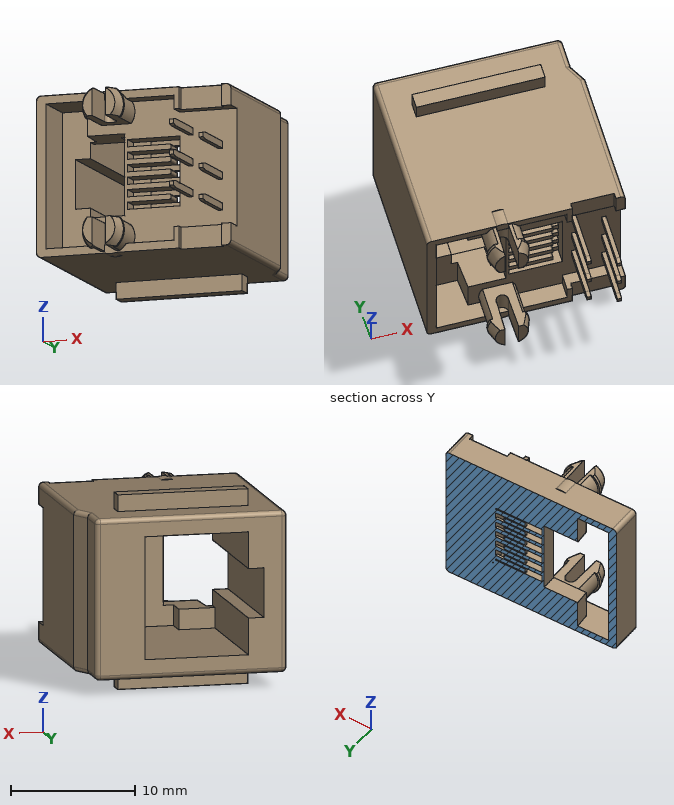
import cadquery as cq


width = 16.64
depth = 16.25
height = 13.26
edge_radius = 0.4
shoulder_step = 0.79
shoulder_start = 11.95
shoulder_end = 13.45

rib_left = 2.52
rib_right = 13.31
rib_front = 12.02
rib_back = 13.31
rib_span = 16.0

recess_left = 0.81
recess_right = 11.76
recess_height = 11.9
plate_front = 1.45
well_right = 3.86
well_floor = 4.0
well_draft = 0.16

bay_height = 9.66
notch_left = 12.2
notch_right = 15.84
notch_depth = 0.5

window_right = 7.03
window_height = 6.72
latch_left = 1.92
latch_height = 4.06
cavity_left = 3.19
cavity_height = 10.1
plate_back = 3.0
stop_right = 6.19
stop_back = 4.84

contact_count = 6
contact_pitch = 1.027
slot_left = 7.29
slot_width = 0.6
slot_floor = 2.85
contact_front = 2.6
contact_left = 8.87
contact_width = 0.47
contact_root = 0.3
comb_left = 10.99
tooth_end_radius = 0.1

pin_pitch = 1.27
pin_row_left = 12.7
pin_row_right = pin_row_left + 2 * pin_pitch
pin_width = 0.36
pin_height = 0.57
pin_tip_height = 0.36
pin_tip_length = 0.5
pin_reach = 3.2

peg_x = 6.33
peg_z = 5.12
peg_radius = 1.58
lip_radius = 1.75
tip_radius = 1.38
lip_start = 1.55
lip_end = 1.79
peg_reach = 2.81
peg_inner_z = 4.16
peg_outer_z = 6.48
peg_slot_root_width = 1.0
peg_slot_tip_width = 1.14


def box(x0, x1, y0, y1, z0, z1):
    return cq.Workplane("XY").box(x1 - x0, y1 - y0, z1 - z0, centered=False).translate((x0, y0, z0))


def mid_box(x0, x1, y0, y1, z_size, z_centre=0.0):
    """Box with its Z extent centred on z_centre."""
    return box(x0, x1, y0, y1, z_centre - z_size / 2, z_centre + z_size / 2)


def prism(points, z_size, z_centre=0.0):
    """Extrude an XY outline, centred on z_centre."""
    outline = cq.Workplane("XY").polyline(points).close()
    return outline.extrude(z_size / 2, both=True).translate((0, 0, z_centre))


def make_shell():
    narrow = width - shoulder_step
    shell = prism(
        [(0, 0), (width, 0), (width, shoulder_start), (narrow, shoulder_end), (narrow, depth), (0, depth)],
        height,
    )
    rims = shell.faces("<Z or >Z or >Y").edges()
    return rims.filter(lambda edge: edge.Center().y > 0).fillet(edge_radius)


def cut_board_side(body):
    body = body.cut(mid_box(recess_left, recess_right, 0, plate_front, recess_height))
    well = prism(
        [
            (recess_left, 0),
            (well_right, 0),
            (well_right, plate_front),
            (well_right - well_draft, well_floor),
            (recess_left, well_floor),
        ],
        recess_height,
    )
    bay = mid_box(recess_right, width, 0, plate_front, bay_height)
    notch = mid_box(notch_left, notch_right, 0, notch_depth, height)
    return body.cut(well).cut(bay).cut(notch)


def cut_plug_cavity(body):
    window = mid_box(cavity_left, window_right, plate_front, stop_back, window_height)
    latch = mid_box(latch_left, cavity_left, plate_front, depth, latch_height)
    deep = mid_box(cavity_left, stop_right, stop_back, depth, cavity_height)
    shallow = mid_box(stop_right, recess_right, plate_back, depth, cavity_height)
    return body.cut(window).cut(latch).cut(deep).cut(shallow)


def contact_positions():
    return [(i - (contact_count - 1) / 2) * contact_pitch for i in range(contact_count)]


def add_contacts(body):
    comb_height = (contact_count - 1) * contact_pitch + slot_width
    tooth_height = contact_pitch - slot_width
    positions = contact_positions()
    opening = mid_box(contact_left, recess_right, plate_front, plate_back, comb_height)
    for lower, upper in zip(positions, positions[1:]):
        tooth = mid_box(contact_left, comb_left, plate_front, plate_back, tooth_height, (lower + upper) / 2)
        opening = opening.cut(tooth.edges("|Y and >X").fillet(tooth_end_radius))
    body = body.cut(opening)
    for z in positions:
        body = body.cut(mid_box(slot_left, contact_left, plate_front, slot_floor, slot_width, z))
        contact_right = recess_right + contact_root
        contact = mid_box(contact_left, contact_right, contact_front, plate_back, contact_width, z)
        body = body.union(contact)
    return body


def make_pin(x, z):
    half = pin_height / 2
    tip = pin_tip_height / 2
    shoulder_y = pin_tip_length - pin_reach
    outline = [
        (plate_front, -half),
        (shoulder_y, -half),
        (-pin_reach, -tip),
        (-pin_reach, tip),
        (shoulder_y, half),
        (plate_front, half),
    ]
    pin = cq.Workplane("YZ").polyline(outline).close().extrude(pin_width / 2, both=True)
    return pin.translate((x, 0, z))


def add_pins(body):
    rows = (pin_row_left, pin_row_right)
    for i in range(contact_count):
        z = ((contact_count - 1) / 2 - i) * pin_pitch
        body = body.union(make_pin(rows[i % len(rows)], z))
    return body


def make_peg():
    """Upper peg: a split, lipped stud trimmed flat towards and away from the middle."""
    half_profile = [
        (0, plate_front),
        (peg_radius, plate_front),
        (peg_radius, -lip_start),
        (lip_radius, -lip_start),
        (lip_radius, -lip_end),
        (tip_radius, -peg_reach),
        (0, -peg_reach),
    ]
    stud = cq.Workplane("XY").polyline(half_profile).close().revolve(360, (0, 0, 0), (0, 1, 0))
    stud = stud.translate((peg_x, 0, peg_z))

    wall_inner = recess_height / 2
    peg_top = peg_z + lip_radius
    root = stud.intersect(box(0, width, 0, plate_front, wall_inner, peg_top))

    root_half = peg_slot_root_width / 2
    tip_half = peg_slot_tip_width / 2
    split = (
        cq.Workplane("XY")
        .moveTo(peg_x - tip_half, -peg_reach)
        .lineTo(peg_x - root_half, 0)
        .threePointArc((peg_x, root_half), (peg_x + root_half, 0))
        .lineTo(peg_x + tip_half, -peg_reach)
        .close()
        .extrude(peg_top)
    )
    shank = stud.intersect(box(0, width, -peg_reach, plate_front, peg_inner_z, peg_outer_z))
    return shank.cut(split).union(root)


def add_pegs(body):
    peg = make_peg()
    return body.union(peg).union(peg.mirror("XY"))


def add_ribs(body):
    rib_height = (rib_span - height) / 2
    for side in (-1, 1):
        rib_centre = side * (height + rib_height) / 2
        body = body.union(mid_box(rib_left, rib_right, rib_front, rib_back, rib_height, rib_centre))
    return body


body = make_shell()
body = cut_board_side(body)
body = cut_plug_cavity(body)
body = add_contacts(body)
body = add_pins(body)
body = add_pegs(body)
result = add_ribs(body)